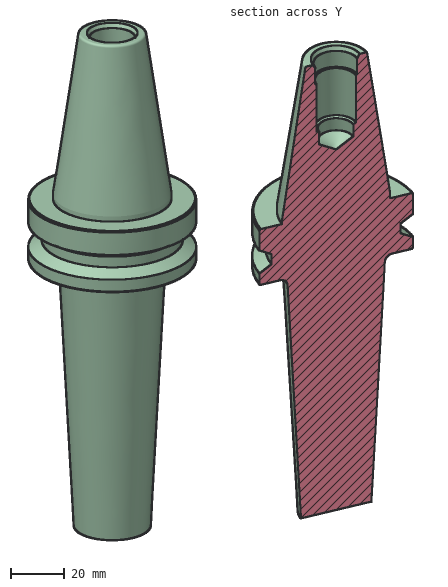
import cadquery as cq
import math


gauge_radius = 44.45 / 2
taper_length = 65.4
taper_slope = (7 / 24) / 2
shank_end_radius = gauge_radius - taper_length * taper_slope
shank_end_fillet = 1.0

flange_radius = 63 / 2
flange_top = -2.0
flange_bottom = -27.0
flange_chamfer = 0.5
groove_radius = 53 / 2
groove_center = -16.6
groove_floor_width = 4.3
groove_flank_angle = 30
groove_flank_height = (flange_radius - groove_radius) * math.tan(math.radians(groove_flank_angle))
groove_floor_top = groove_center + groove_floor_width / 2
groove_floor_bottom = groove_center - groove_floor_width / 2

nose_bottom = -135.0
nose_end_radius = 14.5
nose_root_radius = 20.0
nose_fillet = 3.0
nose_root = flange_bottom - nose_fillet

countersink_radius = 9.5
countersink_half_angle = 30
counterbore_radius = 8.5
counterbore_depth = 8.8
thread_radius = 8.0
thread_depth = 30.0
pilot_radius = 6.9
pilot_depth = 36.0
drill_half_angle = 60


def cone_height(large_radius, small_radius, half_angle):
    """Axial length of a cone between two radii."""
    return (large_radius - small_radius) / math.tan(math.radians(half_angle))


def revolve_profile(profile):
    """Revolve a closed (radius, Z) outline a full turn about the Z axis."""
    return profile.close().revolve(360, (0, 0, 0), (0, 1, 0))


def make_body():
    """Solid shank, flange and nose."""
    fillet_end = (nose_root_radius + nose_fillet, flange_bottom)
    fillet_reach = nose_fillet * math.sqrt(0.5)
    fillet_middle = (fillet_end[0] - fillet_reach, nose_root + fillet_reach)
    profile = (
        cq.Workplane("XZ")
        .moveTo(0, nose_bottom)
        .lineTo(nose_end_radius, nose_bottom)
        .lineTo(nose_root_radius, nose_root)
        .threePointArc(fillet_middle, fillet_end)
        .lineTo(flange_radius - flange_chamfer, flange_bottom)
        .lineTo(flange_radius, flange_bottom + flange_chamfer)
        .lineTo(flange_radius, groove_floor_bottom - groove_flank_height)
        .lineTo(groove_radius, groove_floor_bottom)
        .lineTo(groove_radius, groove_floor_top)
        .lineTo(flange_radius, groove_floor_top + groove_flank_height)
        .lineTo(flange_radius, flange_top - flange_chamfer)
        .lineTo(flange_radius - flange_chamfer, flange_top)
        .lineTo(gauge_radius, flange_top)
        .lineTo(gauge_radius, 0)
        .lineTo(shank_end_radius, taper_length)
        .lineTo(0, taper_length)
    )
    return revolve_profile(profile).faces(">Z").edges().fillet(shank_end_fillet)


def make_hole():
    """Countersunk stepped hole whose steps and blind end are drill-point cones."""
    countersink_depth = cone_height(countersink_radius, counterbore_radius, countersink_half_angle)
    countersink_bottom = taper_length - countersink_depth
    counterbore_bottom = taper_length - counterbore_depth
    thread_top = counterbore_bottom - cone_height(counterbore_radius, thread_radius, drill_half_angle)
    thread_bottom = taper_length - thread_depth
    pilot_top = thread_bottom - cone_height(thread_radius, pilot_radius, drill_half_angle)
    pilot_bottom = taper_length - pilot_depth
    drill_tip = pilot_bottom - cone_height(pilot_radius, 0, drill_half_angle)
    profile = (
        cq.Workplane("XZ")
        .moveTo(0, taper_length)
        .lineTo(countersink_radius, taper_length)
        .lineTo(counterbore_radius, countersink_bottom)
        .lineTo(counterbore_radius, counterbore_bottom)
        .lineTo(thread_radius, thread_top)
        .lineTo(thread_radius, thread_bottom)
        .lineTo(pilot_radius, pilot_top)
        .lineTo(pilot_radius, pilot_bottom)
        .lineTo(0, drill_tip)
    )
    return revolve_profile(profile)


result = make_body().cut(make_hole())